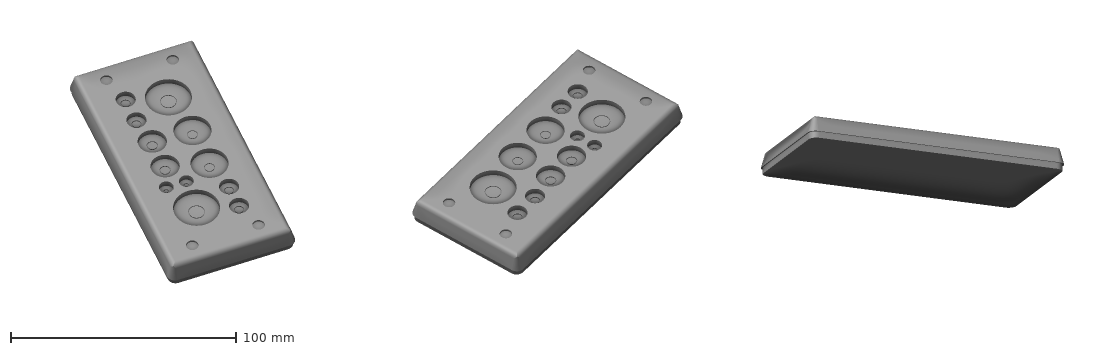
import cadquery as cq
import math

length = 123.0
width = 61.0
height = 11.0

base_height = 3.0
base_inset = 0.6
shell_height = height - base_height

draft_angle = 15.5
shell_corner_radius = 3.6
base_corner_radius = 3.7
top_edge_radius = 2.6

screw_hole_diameter = 5.5
screw_hole_depth = 1.0
screw_spacing_x = 102.8
screw_spacing_y = 31.7

pocket_depth = 3.0
groove_depth = 0.5

huge_pocket = (20.9, 7.5, 6.8)
large_pocket = (17.0, 4.9, 4.2)
medium_pocket = (13.0, 5.0, 4.2)
small_pocket = (9.0, 4.5, 3.6)
tiny_pocket = (6.6, 2.5, 1.5)

pocket_layout = [
    (huge_pocket, [(-32.0, 6.0), (32.0, -6.0)]),
    (large_pocket, [(-10.2, 8.9), (10.2, 8.9)]),
    (medium_pocket, [(-11.0, -10.1), (4.4, -10.1)]),
    (small_pocket, [(-37.9, -12.0), (-25.0, -12.0), (26.0, 11.9), (37.9, 11.9)]),
    (tiny_pocket, [(16.0, -4.5), (16.0, -14.1)]),
]


def rounded_prism(size_x, size_y, corner_radius, bottom, prism_height, taper=0.0):
    """Prism with rounded corners, narrowing upward by the taper angle."""
    outline = cq.Sketch().rect(size_x, size_y).vertices().fillet(corner_radius)
    base_plane = cq.Workplane("XY").workplane(offset=bottom)
    return base_plane.placeSketch(outline).extrude(prism_height, taper=taper)


def drafted_bar(plane, run_edges, span, run):
    """Bar of drafted section with rounded top edges, centred on the origin along its run."""
    top_span = span - 2 * shell_height * math.tan(math.radians(draft_angle))
    section = [
        (-span / 2, base_height),
        (span / 2, base_height),
        (top_span / 2, height),
        (-top_span / 2, height),
    ]
    bar = cq.Workplane(plane).polyline(section).close().extrude(run / 2, both=True)
    return bar.faces(">Z").edges(run_edges).fillet(top_edge_radius)


def make_shell():
    """Drafted shell whose rounded top edges meet in mitred corners."""
    cone_cornered = rounded_prism(length, width, shell_corner_radius, base_height, shell_height, draft_angle)
    along_y = drafted_bar("XZ", "|Y", length, width)
    along_x = drafted_bar("YZ", "|X", width, length)
    return cone_cornered.intersect(along_y).intersect(along_x)


def make_base():
    """Straight skirt under the shell."""
    base_length = length - 2 * base_inset
    base_width = width - 2 * base_inset
    return rounded_prism(base_length, base_width, base_corner_radius, 0, base_height)


def pocket_cutter(size, centres):
    """Round pockets of one size, with their floor grooves."""
    diameter, groove_outer, groove_inner = size
    floor = height - pocket_depth
    pocket_plane = cq.Workplane("XY").workplane(offset=floor).pushPoints(centres)
    pocket = pocket_plane.circle(diameter / 2).extrude(pocket_depth)
    groove_plane = cq.Workplane("XY").workplane(offset=floor - groove_depth).pushPoints(centres)
    groove = groove_plane.circle(groove_outer / 2).circle(groove_inner / 2).extrude(groove_depth)
    return pocket.union(groove)


def screw_hole_cutter():
    """Four shallow blind holes, one near each corner."""
    floor_plane = cq.Workplane("XY").workplane(offset=height - screw_hole_depth)
    centres = floor_plane.rarray(screw_spacing_x, screw_spacing_y, 2, 2)
    return centres.circle(screw_hole_diameter / 2).extrude(screw_hole_depth)


plate = make_base().union(make_shell())
plate = plate.cut(screw_hole_cutter())
for pocket_size, pocket_centres in pocket_layout:
    plate = plate.cut(pocket_cutter(pocket_size, pocket_centres))

result = plate